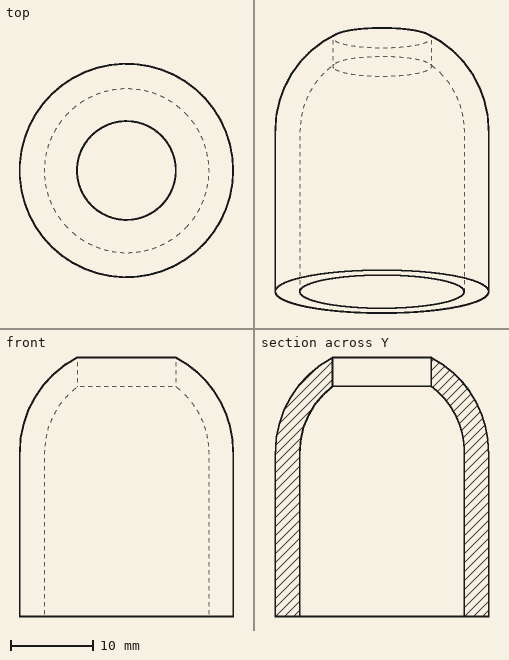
import cadquery as cq
import math

outer_diameter = 26.0
bore_diameter = 20.0
top_hole_diameter = 12.0
skirt_height = 20.0

outer_radius = outer_diameter / 2
bore_radius = bore_diameter / 2
hole_radius = top_hole_diameter / 2


def sphere_height(sphere_radius, distance_from_axis):
    """Height of a sphere above its centre at a distance from the axis."""
    return math.sqrt(sphere_radius**2 - distance_from_axis**2)


def arc_midpoint(sphere_radius):
    """Point (radius, z) on the dome halfway between its equator and the top hole."""
    angle = math.acos(hole_radius / sphere_radius) / 2
    return (sphere_radius * math.cos(angle), skirt_height + sphere_radius * math.sin(angle))


rim_z = skirt_height + sphere_height(outer_radius, hole_radius)
hole_bottom_z = skirt_height + sphere_height(bore_radius, hole_radius)


def domed_shell():
    """Revolve the wall section: an open-bottomed skirt under a pierced hemispherical dome."""
    section = (
        cq.Workplane("XZ")
        .moveTo(bore_radius, 0)
        .lineTo(outer_radius, 0)
        .lineTo(outer_radius, skirt_height)
        .threePointArc(arc_midpoint(outer_radius), (hole_radius, rim_z))
        .lineTo(hole_radius, hole_bottom_z)
        .threePointArc(arc_midpoint(bore_radius), (bore_radius, skirt_height))
        .close()
    )
    return section.revolve(360, (0, 0, 0), (0, 1, 0))


result = domed_shell()